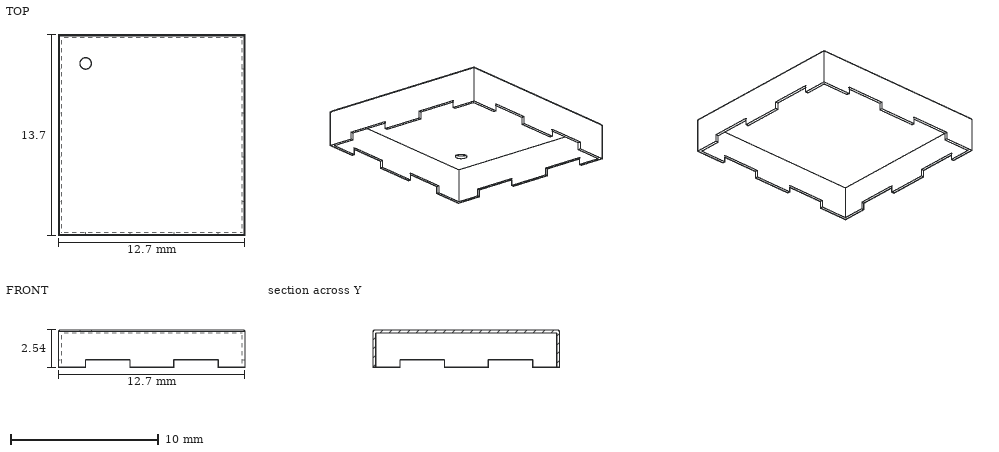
import cadquery as cq

width = 12.7
length = 13.66
height = 2.54
wall = 0.2
top_chamfer = 0.1

notch_width = 3.0
notch_spacing = 6.0
notch_height = 0.5

hole_diameter = 0.76
hole_x = -4.5
hole_y = 4.88


def make_can():
    """Thin-walled box with a closed, chamfered lid; its rim is at Z = 0."""
    outer = cq.Workplane("XY").box(width, length, height, centered=(True, True, False))
    outer = outer.faces(">Z").chamfer(top_chamfer)
    cavity = cq.Workplane("XY").box(
        width - 2 * wall, length - 2 * wall, height - wall, centered=(True, True, False)
    )
    return outer.cut(cavity)


def make_notch_cutter(size_x, size_y, x, y):
    """Block standing on the rim plane, cutting through opposite walls."""
    return (
        cq.Workplane("XY")
        .center(x, y)
        .box(size_x, size_y, notch_height, centered=(True, True, False))
    )


result = make_can()

for offset in (-notch_spacing / 2, notch_spacing / 2):
    result = result.cut(make_notch_cutter(notch_width, length, offset, 0))
    result = result.cut(make_notch_cutter(width, notch_width, 0, offset))

marker_hole = cq.Workplane("XY").center(hole_x, hole_y).circle(hole_diameter / 2).extrude(height)
result = result.cut(marker_hole)